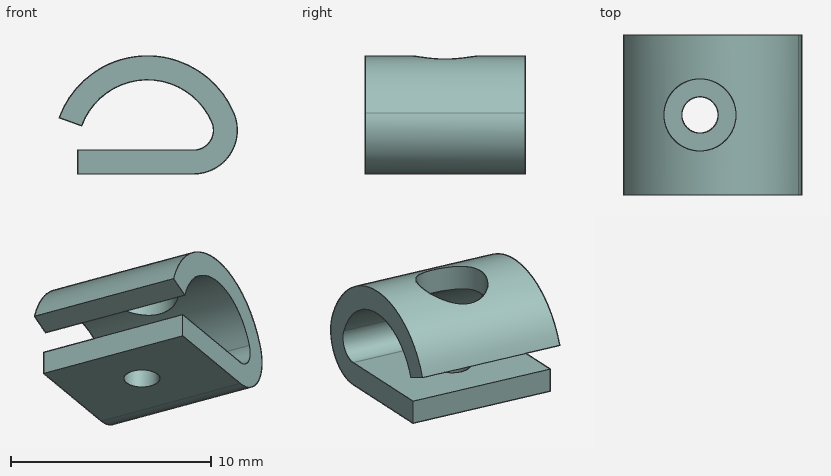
import cadquery as cq
import math

thickness = 1.2
clip_length = 8.9
clip_width = 8.0
clip_height = 5.9
arch_outer_radius = 4.69
arch_inner_radius = arch_outer_radius - thickness
bend_outer_radius = 2.19
bend_inner_radius = bend_outer_radius - thickness

hole_x = -0.6
arch_hole_diameter = 3.6
foot_hole_diameter = 1.8

foot_bottom = arch_outer_radius - clip_height
foot_top = foot_bottom + thickness
foot_end_x = -arch_inner_radius
center_distance = arch_outer_radius - bend_outer_radius
bend_z = foot_bottom + bend_outer_radius
joint_angle = math.degrees(math.asin(bend_z / center_distance))
bend_x = center_distance * math.cos(math.radians(joint_angle))
bend_middle_angle = (joint_angle - 90) / 2

tip_reach = clip_length - bend_x - bend_outer_radius
tip_angle = math.degrees(math.acos(-tip_reach / arch_outer_radius))


def arch_point(radius, angle):
    """Point on an arc about the arch centre."""
    turn = math.radians(angle)
    return (radius * math.cos(turn), radius * math.sin(turn))


def bend_point(radius, angle):
    """Point on an arc about the bend centre."""
    x, z = arch_point(radius, angle)
    return (bend_x + x, bend_z + z)


def make_strip():
    """Bent strip, extruded symmetrically about Y = 0."""
    outline = (
        cq.Workplane("XZ")
        .moveTo(foot_end_x, foot_bottom)
        .lineTo(bend_x, foot_bottom)
        .threePointArc(
            bend_point(bend_outer_radius, bend_middle_angle),
            bend_point(bend_outer_radius, joint_angle),
        )
        .threePointArc((0, arch_outer_radius), arch_point(arch_outer_radius, tip_angle))
        .lineTo(*arch_point(arch_inner_radius, tip_angle))
        .threePointArc((0, arch_inner_radius), arch_point(arch_inner_radius, joint_angle))
        .threePointArc(
            bend_point(bend_inner_radius, bend_middle_angle),
            bend_point(bend_inner_radius, -90),
        )
        .lineTo(foot_end_x, foot_top)
        .close()
    )
    return outline.extrude(clip_width / 2, both=True)


def make_hole(diameter, start_z):
    """Vertical cutter from start_z up past the top of the clip."""
    return (
        cq.Workplane("XY", origin=(hole_x, 0, start_z))
        .circle(diameter / 2)
        .extrude(clip_height)
    )


result = (
    make_strip()
    .cut(make_hole(arch_hole_diameter, foot_top))
    .cut(make_hole(foot_hole_diameter, foot_bottom))
)